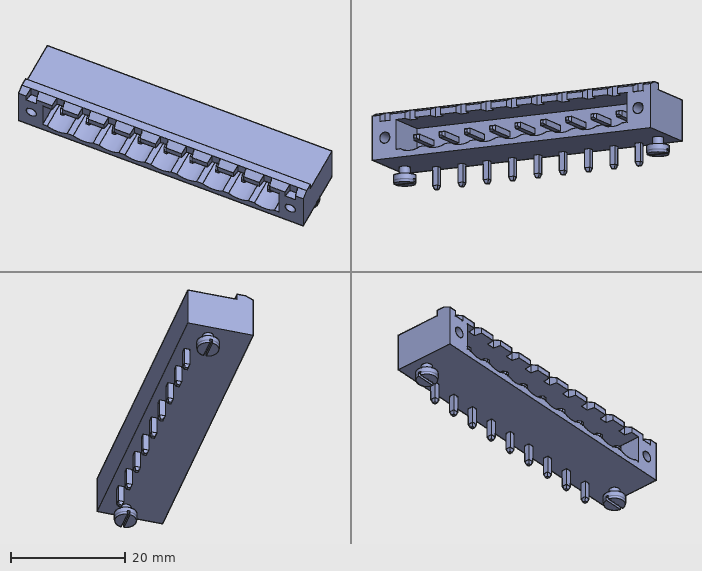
import cadquery as cq


length = 55.0
stations = 11
pitch = length / stations
station_x = [(i - (stations - 1) / 2) * pitch for i in range(stations)]
pin_x = station_x[1:-1]
flange_x = [station_x[0], station_x[-1]]

overall_height = 12.6
depth = 12.0
housing_height = 7.4
lip_height = 8.6
lip_depth = 2.95
lip_slope_depth = 1.45
lip_slope_drop = 0.65

cavity_width = 45.6
cavity_depth = 8.0
cavity_top = 6.8
cavity_floor = 1.5
scallop_floor = 1.0
scallop_width = 3.85

notch_front_width = 2.0
notch_back_width = 1.5
notch_depth = lip_slope_depth

pin_size = 1.05
pin_tip_size = 0.55
pin_taper = 0.65
pin_z = 3.85
pin_front_y = 1.85
pin_leg_y = 10.0
pin_leg_bottom = lip_height - overall_height

hole_diameter = 2.0
hole_depth = 4.95
hole_z = 3.8
screw_y = 7.55
shank_diameter = 2.0
shank_top = 1.1
head_diameter = 4.0
head_top = -1.5
head_bottom = -2.95
head_bevel_height = 0.5
head_bevel_inset = 0.1
driver_slot_width = 0.5
driver_slot_depth = 0.7


def make_housing():
    """Block with a raised lip that slopes down to the mating face."""
    return (
        cq.Workplane("YZ", origin=(-length / 2, 0, 0))
        .polyline([
            (0, 0),
            (depth, 0),
            (depth, housing_height),
            (lip_depth, housing_height),
            (lip_depth, lip_height),
            (lip_slope_depth, lip_height),
            (0, lip_height - lip_slope_drop),
        ])
        .close()
        .extrude(length)
    )


def make_cavity():
    """Cavity volume whose floor dips in a shallow arc under every pin."""
    half_width = cavity_width / 2
    outline = cq.Workplane("XZ").moveTo(-half_width, cavity_top).lineTo(-half_width, cavity_floor)
    for x in pin_x:
        outline = outline.lineTo(x - scallop_width / 2, cavity_floor)
        outline = outline.threePointArc((x, scallop_floor), (x + scallop_width / 2, cavity_floor))
    outline = outline.lineTo(half_width, cavity_floor).lineTo(half_width, cavity_top).close()
    return outline.extrude(-cavity_depth)


def make_notch(x):
    """Tapered notch through the lip, level with the cavity ceiling."""
    return (
        cq.Workplane("XY", origin=(x, 0, cavity_top))
        .polyline([
            (-notch_front_width / 2, 0),
            (notch_front_width / 2, 0),
            (notch_back_width / 2, notch_depth),
            (-notch_back_width / 2, notch_depth),
        ])
        .close()
        .extrude(lip_height - cavity_top)
    )


def make_square_bar(bar_length):
    """Upright square bar from Z = 0 downwards with a tapered lower end."""
    straight = bar_length - pin_taper
    shaft = cq.Workplane("XY").rect(pin_size, pin_size).extrude(-straight)
    tip = (
        cq.Workplane("XY", origin=(0, 0, -straight))
        .rect(pin_size, pin_size)
        .workplane(offset=-pin_taper)
        .rect(pin_tip_size, pin_tip_size)
        .loft(combine=True)
    )
    return shaft.union(tip)


def make_pin(x):
    """Right-angle pin: a leg pointing down and a contact pointing to the mating face."""
    corner_top = pin_z + pin_size / 2
    corner_back = pin_leg_y + pin_size / 2
    leg = make_square_bar(corner_top - pin_leg_bottom).translate((x, pin_leg_y, corner_top))
    contact = (
        make_square_bar(corner_back - pin_front_y)
        .rotate((0, 0, 0), (1, 0, 0), -90)
        .translate((x, corner_back, pin_z))
    )
    return leg.union(contact)


def make_flange_hole(x):
    """Blind round hole in the mating face."""
    return cq.Workplane("XZ", origin=(x, 0, hole_z)).circle(hole_diameter / 2).extrude(-hole_depth)


def make_screw(x):
    """Slotted screw hanging below the housing, its driver slot along X."""
    head_radius = head_diameter / 2
    shank_radius = shank_diameter / 2
    body = (
        cq.Workplane("XZ")
        .polyline([
            (0, shank_top),
            (shank_radius, shank_top),
            (shank_radius, head_top),
            (head_radius, head_top),
            (head_radius, head_bottom + head_bevel_height),
            (head_radius - head_bevel_inset, head_bottom),
            (0, head_bottom),
        ])
        .close()
        .revolve(360, (0, 0, 0), (0, 1, 0))
    )
    driver_slot = cq.Workplane("XY", origin=(0, 0, head_bottom)).box(
        head_diameter, driver_slot_width, driver_slot_depth, centered=(True, True, False)
    )
    return body.cut(driver_slot).translate((x, screw_y, 0))


result = make_housing().cut(make_cavity())
for x in station_x:
    result = result.cut(make_notch(x))
for x in flange_x:
    result = result.cut(make_flange_hole(x)).union(make_screw(x))
for x in pin_x:
    result = result.union(make_pin(x))